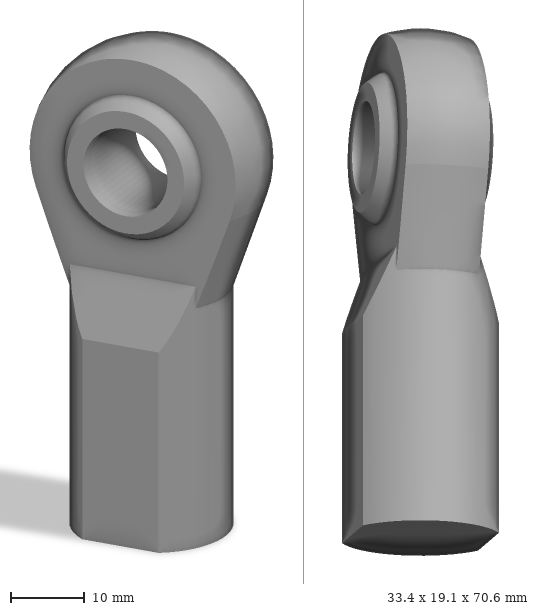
import cadquery as cq
import math

total_height = 70.6
head_radius = 16.7
head_thickness = 11.6
shank_radius = 11.15
shank_flat_width = 19.1
neck_bottom = 35.0
ramp_bottom = 29.25
ramp_top = 38.2
ball_radius = 11.95
ball_width = 15.95
bore_radius = 6.35

head_height = total_height - head_radius


def make_head():
    """Sphere with a tangent conical neck, sliced to the head thickness."""
    drop = head_height - neck_bottom
    shank_edge_distance = math.hypot(shank_radius, drop)
    tangent_angle = math.atan2(drop, shank_radius) - math.acos(head_radius / shank_edge_distance)
    tangent_point = (
        head_radius * math.cos(tangent_angle),
        head_height - head_radius * math.sin(tangent_angle),
    )
    turned = (
        cq.Workplane("XZ")
        .moveTo(0, neck_bottom)
        .lineTo(shank_radius, neck_bottom)
        .lineTo(*tangent_point)
        .threePointArc((head_radius, head_height), (0, total_height))
        .close()
        .revolve(360, (0, 0, 0), (0, 1, 0))
    )
    slab = cq.Workplane("XY").box(
        2 * head_radius, head_thickness, total_height, centered=(True, True, False)
    )
    return turned.intersect(slab)


def make_shank():
    """Round bar with two flats that slope inwards to the head faces."""
    bar = cq.Workplane("XY").circle(shank_radius).extrude(ramp_top)
    side_profile = (
        cq.Workplane("YZ")
        .moveTo(0, 0)
        .lineTo(shank_flat_width / 2, 0)
        .lineTo(shank_flat_width / 2, ramp_bottom)
        .lineTo(head_thickness / 2, ramp_top)
        .lineTo(0, ramp_top)
        .mirrorY()
        .extrude(shank_radius, both=True)
    )
    return bar.intersect(side_profile)


def make_ball_blank(inner_radius):
    """Sphere with flat ends, turned about the bore axis outside the given inner radius."""
    half_width = ball_width / 2
    end_radius = math.sqrt(ball_radius**2 - half_width**2)
    return (
        cq.Workplane("XY", origin=(0, 0, head_height))
        .moveTo(inner_radius, -half_width)
        .lineTo(end_radius, -half_width)
        .threePointArc((ball_radius, 0), (end_radius, half_width))
        .lineTo(inner_radius, half_width)
        .close()
        .revolve(360, (0, 0, 0), (0, 1, 0))
    )


def make_housing():
    """Head and shank in one piece, with a spherical seat for the ball."""
    return make_head().union(make_shank()).cut(make_ball_blank(0))


def make_ball():
    """Ball with flat ends and a through bore."""
    return make_ball_blank(bore_radius)


housing = make_housing()
ball = make_ball()

result = cq.Compound.makeCompound([housing.solids().val(), ball.val()])